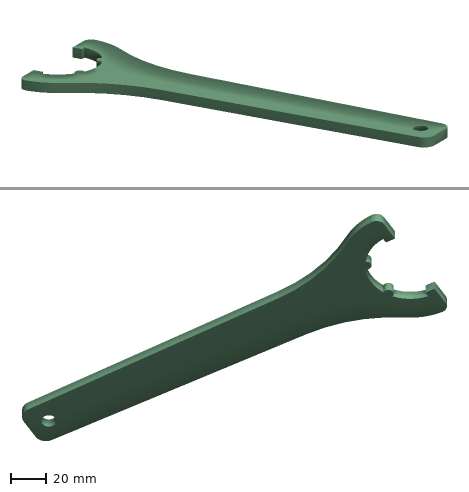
import cadquery as cq
import math

length = 253.0
thickness = 6.0

head_radius = 40.0
bore_radius = 25.5
lug_width = 6.0
head_center_x = lug_width / 2
jaw_corner_radius = 5.0

lug_inner_radius = 22.3
round_lug_center_radius = 25.0
round_lug_angle = 30.0

neck_radius = 101.2
handle_start_x = 79.0
handle_start_half_width = 16.0
handle_end_half_width = 13.5
handle_corner_radius = 6.8
hanging_hole_diameter = 8.5
hanging_hole_end_distance = 12.6


def neck_tangency():
    """Centre of the upper neck arc, its contact points on head and handle, and its midpoint."""
    slope = (handle_end_half_width - handle_start_half_width) / (length - handle_start_x)
    taper = math.atan(slope)
    offset_at_head = (
        handle_start_half_width
        + slope * (head_center_x - handle_start_x)
        + neck_radius / math.cos(taper)
    )
    normal_distance = offset_at_head * math.cos(taper)
    along = math.sqrt((head_radius + neck_radius) ** 2 - normal_distance**2)
    center_x = head_center_x + along * math.cos(taper) - normal_distance * math.sin(taper)
    center_y = along * math.sin(taper) + normal_distance * math.cos(taper)

    share = head_radius / (head_radius + neck_radius)
    head_contact = (head_center_x + share * (center_x - head_center_x), share * center_y)
    handle_contact = (
        center_x + neck_radius * math.sin(taper),
        center_y - neck_radius * math.cos(taper),
    )
    head_angle = math.atan2(head_contact[1] - center_y, head_contact[0] - center_x)
    handle_angle = math.atan2(handle_contact[1] - center_y, handle_contact[0] - center_x)
    middle_angle = (head_angle + handle_angle) / 2
    middle = (
        center_x + neck_radius * math.cos(middle_angle),
        center_y + neck_radius * math.sin(middle_angle),
    )
    return head_contact, middle, handle_contact


def mirrored(point):
    return (point[0], -point[1])


def make_blank():
    """Solid plate: rounded head, concave neck and tapered handle."""
    head_contact, neck_middle, handle_contact = neck_tangency()
    tip = (0, math.sqrt(head_radius**2 - head_center_x**2))
    head_top = (head_center_x, head_radius)
    handle_end = (length, handle_end_half_width)
    blank = (
        cq.Workplane("XY")
        .moveTo(*tip)
        .threePointArc(head_top, head_contact)
        .threePointArc(neck_middle, handle_contact)
        .lineTo(*handle_end)
        .lineTo(*mirrored(handle_end))
        .lineTo(*mirrored(handle_contact))
        .threePointArc(mirrored(neck_middle), mirrored(head_contact))
        .threePointArc(mirrored(head_top), mirrored(tip))
        .close()
        .extrude(thickness)
    )
    blank = blank.edges("|Z and <X").fillet(jaw_corner_radius)
    return blank.edges("|Z and >X").fillet(handle_corner_radius)


def make_bore():
    """Cutter for the bore, open through the jaw tips."""
    bore = cq.Workplane("XY").center(head_center_x, 0).circle(bore_radius).extrude(thickness)
    mouth = (
        cq.Workplane("XY")
        .rect(2 * head_center_x, 2 * bore_radius)
        .extrude(thickness)
    )
    return bore.union(mouth)


def make_jaw_lug(side):
    """Square lug at a jaw tip; side is +1 or -1 along Y."""
    lug_outer = bore_radius + lug_width / 2
    return (
        cq.Workplane("XY")
        .center(head_center_x, side * (lug_inner_radius + lug_outer) / 2)
        .rect(lug_width, lug_outer - lug_inner_radius)
        .extrude(thickness)
    )


def make_round_lug(side):
    """Round-nosed lug rooted in the bore wall; side is +1 or -1 along Y."""
    root_length = lug_width
    return (
        cq.Workplane("XY")
        .center(round_lug_center_radius + root_length / 2, 0)
        .slot2D(root_length + lug_width, lug_width)
        .extrude(thickness)
        .rotate((0, 0, 0), (0, 0, 1), side * round_lug_angle)
        .translate((head_center_x, 0, 0))
    )


result = make_blank().cut(make_bore())
for side in (1, -1):
    result = result.union(make_jaw_lug(side)).union(make_round_lug(side))

hanging_hole = (
    cq.Workplane("XY")
    .center(length - hanging_hole_end_distance, 0)
    .circle(hanging_hole_diameter / 2)
    .extrude(thickness)
)
result = result.cut(hanging_hole)